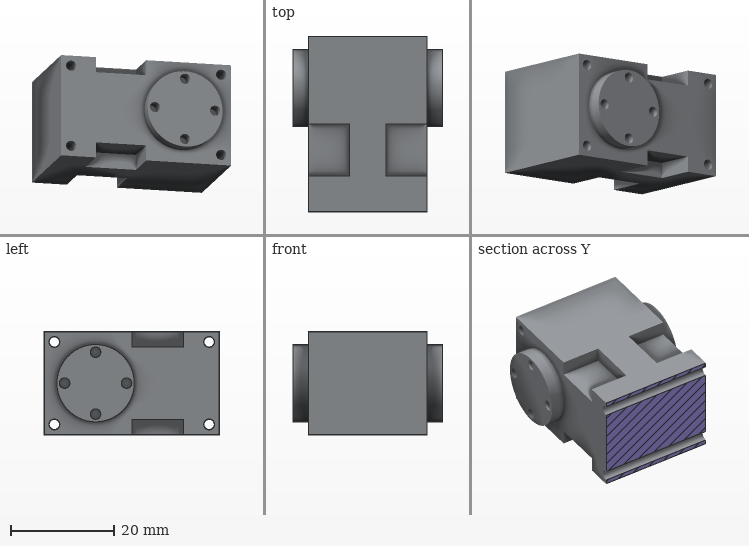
import cadquery as cq

overall_width = 29.0
body_length = 34.0
body_height = 20.0
disc_thickness = 3.0
body_width = overall_width - 2 * disc_thickness

disc_diameter = 15.0
disc_to_back = 10.0
disc_y = body_length / 2 - disc_to_back
hole_diameter = 2.0
disc_hole_circle = 12.0
disc_hole_depth = disc_thickness
disc_hole_count = 4

corner_hole_inset = 2.0

pocket_width = 8.0
pocket_length = 10.0
pocket_depth = 3.0
pocket_to_back = 17.0
pocket_y = body_length / 2 - pocket_to_back - pocket_length / 2


def make_disc():
    """Disc on the +X face, with a ring of blind holes in its outer face."""
    disc = (
        cq.Workplane("YZ", origin=(body_width / 2, disc_y, 0))
        .circle(disc_diameter / 2)
        .extrude(disc_thickness)
    )
    holes = (
        cq.Workplane("YZ", origin=(overall_width / 2, disc_y, 0))
        .polarArray(disc_hole_circle / 2, 0, 360, disc_hole_count)
        .circle(hole_diameter / 2)
        .extrude(-disc_hole_depth)
    )
    return disc.cut(holes)


def make_corner_holes():
    """Four cylinders running through the full width of the body."""
    return (
        cq.Workplane("YZ")
        .rect(
            body_length - 2 * corner_hole_inset,
            body_height - 2 * corner_hole_inset,
            forConstruction=True,
        )
        .vertices()
        .circle(hole_diameter / 2)
        .extrude(body_width / 2, both=True)
    )


body = cq.Workplane("XY").box(body_width, body_length, body_height)

for x_side in (-1, 1):
    for z_side in (-1, 1):
        pocket_x = x_side * (body_width - pocket_width) / 2
        pocket_z = z_side * (body_height - pocket_depth) / 2
        pocket = cq.Workplane("XY").box(pocket_width, pocket_length, pocket_depth)
        body = body.cut(pocket.translate((pocket_x, pocket_y, pocket_z)))

body = body.cut(make_corner_holes())

disc = make_disc()
result = body.union(disc).union(disc.mirror("YZ"))